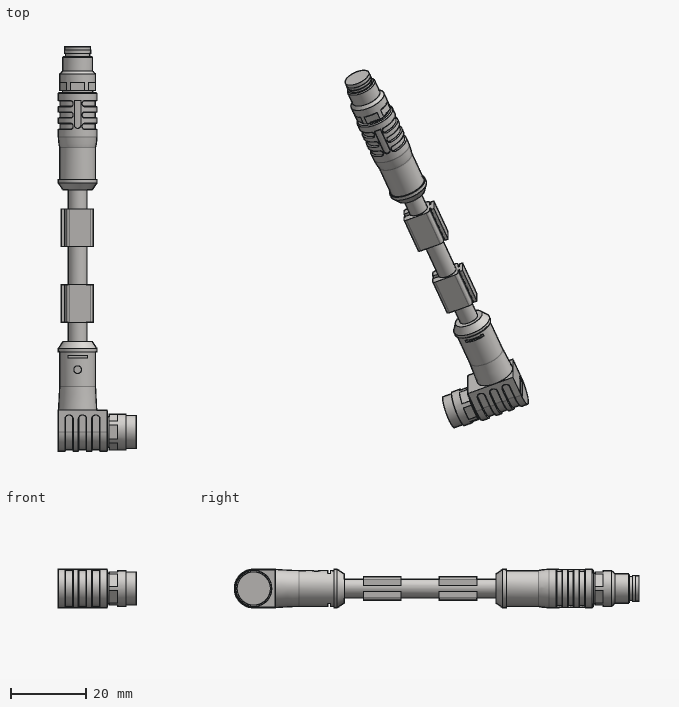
import cadquery as cq


cable_d = 5.0
outer_d = 10.3
body_d = 9.6
rim_end_d = 7.7
relief_depth = 0.4
groove_floor_d = outer_d - 2 * relief_depth
groove_wall = 0.2
neck_d = 8.2
flat_across = 8.8
flat_count = 6

head_left = -outer_d / 2
head_right = 8.0
head_top = 5.8
head_chamfer = 0.2
head_groove_width = 2.3
head_groove_first = -2.3
head_groove_pitch = 3.5
head_groove_count = 3
head_groove_end = 4.5
back_pocket_depth = 0.3
back_pocket_width = 1.7
back_pocket_height = 8.2
elbow_flats_start = 8.4
elbow_flats_end = 10.6
elbow_collar_end = 12.9
elbow_tip_d = 8.8
elbow_tip_end = 15.6

taper_end = 12.0
taper_foot_d = 10.2
elbow_rim_start = 21.3
elbow_rim_end = 22.1
elbow_sleeve_end = 24.1
notch_y = 20.0
notch_width = 0.6
notch_depth = 0.8
dot_y = 16.6
dot_d = 2.0
dot_depth = 0.3

clip_length = 10.0
clip_starts = (29.1, 49.2)
clip_height = 6.3
clip_left = -3.1
clip_right = 4.2
clip_left_radius = 1.0
clip_right_radius = 0.8
clip_opening = 1.5
plate_left = -4.4
plate_right = -3.4
web_height = 2.2
plate_height = 4.3

plug_start = 64.3
plug_rim_start = 66.1
plug_rim_end = 67.1
shoulder_start = 75.6
grip_start = 78.4
grip_end = 90.2
grip_chamfer = 0.3
plug_flats_start = 90.6
plug_flats_end = 92.8
plug_collar_chamfer = 95.0
plug_collar_end = 95.9
thread_end = 99.8
thread_d = 8.0
thread_chamfer = 0.3
tip_groove_end = 100.5
tip_groove_d = 6.5
tip_ring_end = 101.4
tip_ring_d = 7.0
tip_d = 6.9
plug_end = 102.3
grip_groove_width = 1.7
grip_groove_first = 81.2
grip_groove_pitch = 3.0
grip_groove_count = 3
grip_groove_inner = 1.2
spine_width = 1.7
spine_start = 80.6
spine_end = 88.0


def turned_y(profile):
    """Solid of revolution about Y from (diameter, y) pairs."""
    points = [(diameter / 2, y) for diameter, y in profile]
    points = [(0, profile[0][1])] + points + [(0, profile[-1][1])]
    return cq.Workplane("XY").polyline(points).close().revolve(360, (0, 0, 0), (0, 1, 0))


def disc_y(diameter, start, end):
    return turned_y([(diameter, start), (diameter, end)])


def groove_section(width):
    """Groove cross-section as (radius, offset along the axis) pairs, narrower at the floor."""
    mouth = width / 2
    floor = mouth - groove_wall
    return [
        (groove_floor_d / 2, -floor),
        (outer_d / 2, -mouth),
        (outer_d / 2, mouth),
        (groove_floor_d / 2, floor),
    ]


def slot_from(width, x, y, length, direction):
    """Tall cutter with a rounded end at (x, y), running along the direction angle in XY."""
    radius = width / 2
    cutter = (
        cq.Workplane("XY")
        .moveTo(length, radius)
        .lineTo(radius, radius)
        .threePointArc((0, 0), (radius, -radius))
        .lineTo(length, -radius)
        .close()
        .extrude(outer_d, both=True)
    )
    return cutter.rotate((0, 0, 0), (0, 0, 1), direction).translate((x, y, 0))


def collar_with_flats(flats_start, flats_end, collar_end):
    """Round collar along Y with a hexagon of flats at its start."""
    hexagon = (
        cq.Workplane("XZ", origin=(0, flats_start, 0))
        .polygon(flat_count, flat_across, circumscribed=True)
        .extrude(flats_start - flats_end)
        .rotate((0, 0, 0), (0, 1, 0), 180 / flat_count)
    )
    flats = hexagon.intersect(disc_y(body_d, flats_start, flats_end))
    return flats.union(disc_y(body_d, flats_end, collar_end))


def stadium():
    """Head section (round nose towards -Y, square towards +Y) over the head length."""
    radius = outer_d / 2
    return (
        cq.Workplane("YZ", origin=(head_left, 0, 0))
        .moveTo(head_top, radius)
        .lineTo(0, radius)
        .threePointArc((-radius, 0), (0, -radius))
        .lineTo(head_top, -radius)
        .close()
        .extrude(head_right - head_left)
    )


def head_groove_band(x):
    """Sloped-sided band round the nose and along both flat sides of the head, centred on x."""
    section = [(x + offset, radius) for radius, offset in groove_section(head_groove_width)]
    around_nose = (
        cq.Workplane("XZ")
        .polyline(section)
        .close()
        .revolve(180, (0, 0, 0), (1, 0, 0))
    )
    side = cq.Workplane("XZ").polyline(section).close().extrude(-head_top)
    return around_nose.union(side).union(side.mirror("XY"))


def elbow_head():
    head = stadium().faces(">X").edges().chamfer(head_chamfer)
    for i in range(head_groove_count):
        x = head_groove_first + i * head_groove_pitch
        groove = slot_from(head_groove_width, x, head_groove_end, 2 * outer_d, -90)
        head = head.cut(head_groove_band(x).intersect(groove))
    pocket = (
        cq.Workplane("XY")
        .box(back_pocket_depth, back_pocket_width, back_pocket_height)
        .translate((head_left + back_pocket_depth / 2, 0, 0))
    )
    return head.cut(pocket)


def elbow_mating_end():
    end = (
        disc_y(neck_d, 0, elbow_flats_start)
        .union(collar_with_flats(elbow_flats_start, elbow_flats_end, elbow_collar_end))
        .union(disc_y(elbow_tip_d, elbow_collar_end, elbow_tip_end))
    )
    return end.rotate((0, 0, 0), (0, 0, 1), -90)


def elbow_sleeve():
    sleeve = turned_y([
        (taper_foot_d, head_top),
        (body_d, taper_end),
        (body_d, elbow_rim_start),
        (outer_d, elbow_rim_start),
        (outer_d, elbow_rim_end),
        (rim_end_d, elbow_sleeve_end),
    ])
    notch = cq.Workplane("XY").box(outer_d, notch_width, 2 * notch_depth)
    for side in (-1, 1):
        sleeve = sleeve.cut(notch.translate((0, notch_y, side * body_d / 2)))
    dot = (
        cq.Workplane("XY", origin=(0, dot_y, body_d / 2 - dot_depth))
        .circle(dot_d / 2)
        .extrude(outer_d)
    )
    return sleeve.cut(dot)


def clip(start):
    """C-shaped cable clip, open towards +X, with a label plate on its -X side."""
    middle = start + clip_length / 2
    body = (
        cq.Workplane("XY")
        .box(clip_right - clip_left, clip_length, clip_height)
        .translate(((clip_right + clip_left) / 2, middle, 0))
        .edges("|Y and <X").fillet(clip_left_radius)
        .edges("|Y and >X").fillet(clip_right_radius)
    )
    opening = (
        cq.Workplane("XY")
        .box(clip_right, clip_length, clip_opening)
        .translate((clip_right / 2, middle, 0))
    )
    plate = (
        cq.Workplane("XY")
        .box(plate_right - plate_left, clip_length, plate_height)
        .translate(((plate_right + plate_left) / 2, middle, 0))
    )
    web = (
        cq.Workplane("XY")
        .box(-plate_right, clip_length, web_height)
        .translate((plate_right / 2, middle, 0))
    )
    return body.cut(opening).union(plate).union(web)


def shoulder():
    """Rounded step from the plug sleeve up to the grip."""
    length = grip_start - shoulder_start
    step = (outer_d - body_d) / 2
    arc_radius = (length**2 + step**2) / (2 * step)
    return (
        cq.Workplane("XY")
        .moveTo(0, grip_start)
        .lineTo(outer_d / 2, grip_start)
        .radiusArc((body_d / 2, shoulder_start), arc_radius)
        .lineTo(0, shoulder_start)
        .close()
        .revolve(360, (0, 0, 0), (0, 1, 0))
    )


def plug_grip():
    grip = turned_y([
        (outer_d, grip_start),
        (outer_d, grip_end - grip_chamfer),
        (outer_d - 2 * grip_chamfer, grip_end),
    ])
    skin = grip.cut(disc_y(groove_floor_d, grip_start, grip_end))
    for i in range(grip_groove_count):
        y = grip_groove_first + i * grip_groove_pitch
        ring = (
            cq.Workplane("XY")
            .polyline([(radius, y + offset) for radius, offset in groove_section(grip_groove_width)])
            .close()
            .revolve(360, (0, 0, 0), (0, 1, 0))
        )
        for side, direction in ((1, 0), (-1, 180)):
            groove = slot_from(grip_groove_width, side * grip_groove_inner, y, outer_d, direction)
            grip = grip.cut(ring.intersect(groove))
    spine_length = spine_end - spine_start
    spine = slot_from(spine_width, 0, spine_start, spine_length, 90)
    return grip.cut(skin.intersect(spine))


def straight_plug():
    rear = turned_y([
        (rim_end_d, plug_start),
        (outer_d, plug_rim_start),
        (outer_d, plug_rim_end),
        (body_d, plug_rim_end),
        (body_d, shoulder_start),
    ])
    neck = disc_y(neck_d, grip_end, plug_flats_start)
    collar = collar_with_flats(plug_flats_start, plug_flats_end, plug_collar_chamfer)
    front = turned_y([
        (body_d, plug_collar_chamfer),
        (thread_d, plug_collar_end),
        (thread_d, thread_end - thread_chamfer),
        (thread_d - 2 * thread_chamfer, thread_end),
        (tip_groove_d, thread_end),
        (tip_groove_d, tip_groove_end),
        (tip_ring_d, tip_groove_end),
        (tip_ring_d, tip_ring_end),
        (tip_d, tip_ring_end),
        (tip_d, plug_end),
    ])
    return rear.union(shoulder()).union(plug_grip()).union(neck).union(collar).union(front)


result = disc_y(cable_d, 0, plug_rim_start)
for section in (elbow_head(), elbow_mating_end(), elbow_sleeve(), straight_plug()):
    result = result.union(section)
for clip_start in clip_starts:
    result = result.union(clip(clip_start))